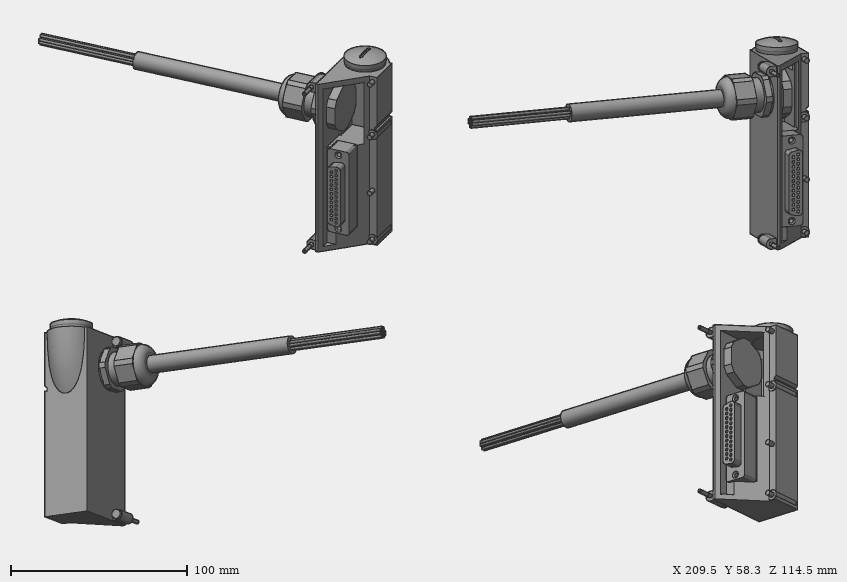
import cadquery as cq
import math


HOUSING_WIDTH = 28.0
HOUSING_HEIGHT = 107.5
REAR_Y = 24.5
TIP_Y = -17.2
TIP_WIDTH = 1.5
STRIP_WIDTH = 4.6
STRIP_X = HOUSING_WIDTH - STRIP_WIDTH
STRIP_Y = TIP_Y + (STRIP_X - TIP_WIDTH)
WALL = 3.5

CAP_X = HOUSING_WIDTH / 2
CAP_Y = 18.5
BULGE_RADIUS = 13.8
BULGE_BEND_RADIUS = 92.2
BULGE_SWEEP_ANGLE = 30.0
BORE_DIAMETER = 22.2
BORE_BOTTOM_Z = 97.2

CAP_DIAMETER = 24.0
CAP_BASE_DIAMETER = 23.5
CAP_BASE_HEIGHT = 1.9
CAP_RIM_HEIGHT = 2.5
CAP_HEIGHT = 7.0
CAP_SLOT_LENGTH = 12.2
CAP_SLOT_WIDTH = 1.9
CAP_SLOT_DEPTH = 1.3

MOUTH_RIGHT_X = 21.0
MOUTH_LEDGE = 1.0
MOUTH_FLOOR_Y = 6.3
CHAMBER_TOP_Z = HOUSING_HEIGHT - WALL
RECESS_BOTTOM_Z = 3.1
RECESS_FLOOR_Y = -9.6

LUG_DIAMETER = 6.0
LUG_RADIUS = LUG_DIAMETER / 2
LUG_INSET = 3.4
LUG_BOTTOM_Z = LUG_INSET
LUG_TOP_Z = HOUSING_HEIGHT - LUG_INSET
LEFT_LUG_X = -3.1
LEFT_LUG_FRONT_Y = -16.0
LEFT_LUG_REAR_Y = -4.0
SCREW_HEAD_DIAMETER = 5.5
SCREW_HEAD_REAR_Y = -2.0
SCREW_DIAMETER = 2.5
SCREW_THREAD_DIAMETER = 2.3
SCREW_SHOULDER_Y = -18.7
SCREW_TIP_Y = -26.0
SCREW_TIP_CHAMFER = 0.5
RIGHT_LUG_X = 25.4
RIGHT_LUG_FRONT_Y = 4.6
RIGHT_LUG_REAR_Y = 23.0
RIGHT_LUG_MIDDLE_Z = 70.5
RIGHT_PIN_LOW_Z = 34.5
RIGHT_PIN_DIAMETER = 3.0
RIGHT_PIN_TIP_Y = 0.6

NOTCH_DEPTH = 1.5
NOTCH_BOTTOM_Z = 73.4
NOTCH_HEIGHT = 3.1

FLANGE_LEFT_X = 4.6
FLANGE_WIDTH = 13.5
FLANGE_BOTTOM_Z = 11.3
FLANGE_HEIGHT = 53.2
FLANGE_TOP_Z = FLANGE_BOTTOM_Z + FLANGE_HEIGHT
FLANGE_FRONT_Y = -11.1
FLANGE_REAR_Y = 0.0
FLANGE_CORNER = 1.5
CONNECTOR_X = FLANGE_LEFT_X + FLANGE_WIDTH / 2
CONNECTOR_Z = FLANGE_BOTTOM_Z + FLANGE_HEIGHT / 2
SHELL_LENGTH = 39.2
SHELL_WIDTH = 8.4
SHELL_TAPER_ANGLE = 10
SHELL_TAPER = SHELL_WIDTH * math.tan(math.radians(SHELL_TAPER_ANGLE))
SHELL_CORNER = 2.3
CONTACT_COUNT = 13
CONTACT_ROW_LENGTH = 33.3
CONTACT_PITCH = CONTACT_ROW_LENGTH / (CONTACT_COUNT - 1)
CONTACT_ROW_GAP = 3.0
CONTACT_DIAMETER = 1.6
CONTACT_DEPTH = 4.2
FIXING_SPACING = 47.2
FIXING_DIAMETER = 2.5
FIXING_SINK_DIAMETER = 4.2
FIXING_SINK_ANGLE = 90

AXIS_Z = 87.2
NUT_FLATS = 24.0
NUT_CORNERS = 26.0
DOME_X = -27.9
DOME_FILLET = 5.2
NUT_LEFT_X = -23.0
NUT_RIGHT_X = -11.0
NECK_DIAMETER = 20.0
COLLAR_LEFT_X = -5.0
COLLAR_RIGHT_X = -1.0
STEM_DIAMETER = 18.9
LOCKNUT_FLATS = 27.7
LOCKNUT_CORNERS = 29.1
LOCKNUT_LEFT_X = 5.0
LOCKNUT_RIGHT_X = 10.5
CABLE_DIAMETER = 10.3
CABLE_END_X = -121.0
TOTAL_LENGTH = 209.5
WIRE_TIP_X = RIGHT_LUG_X + LUG_RADIUS - TOTAL_LENGTH
WIRE_DIAMETER = 1.6
WIRE_PITCH = 1.7
WIRE_ROWS = 4


def box(x0, x1, y0, y1, z0, z1):
    """Axis-aligned box between two opposite corners."""
    return cq.Workplane("XY").box(x1 - x0, y1 - y0, z1 - z0, centered=False).translate((x0, y0, z0))


def rod_x(diameter, x0, x1, y=0.0, z=AXIS_Z):
    """Cylinder along X."""
    return cq.Workplane("YZ", origin=(x0, y, z)).circle(diameter / 2).extrude(x1 - x0)


def rod_y(diameter, x, z, y0, y1):
    """Cylinder along Y from the rear face y1 forward to y0."""
    return cq.Workplane("XZ", origin=(x, y1, z)).circle(diameter / 2).extrude(y1 - y0)


def rod_z(diameter, z0, z1):
    """Cylinder along Z on the cap axis."""
    return cq.Workplane("XY", origin=(CAP_X, CAP_Y, z0)).circle(diameter / 2).extrude(z1 - z0)


def hexagon(flats, turn, x0, x1):
    """Hexagonal prism along the cable axis; a zero turn puts two corners on Y."""
    plane = cq.Workplane("YZ", origin=(x0, 0, AXIS_Z)).transformed(rotate=(0, 0, turn))
    return plane.polygon(6, flats / math.cos(math.radians(30))).extrude(x1 - x0)


def clipped_hexagon(flats, corners, turn, x0, x1):
    """Hexagonal prism with its six corners cut flat."""
    return hexagon(flats, turn, x0, x1).intersect(hexagon(corners, turn + 30, x0, x1))


def connector_envelope():
    """Rounded block of the connector flange, also the recess that seats it."""
    block = box(FLANGE_LEFT_X, FLANGE_LEFT_X + FLANGE_WIDTH, FLANGE_FRONT_Y, FLANGE_REAR_Y,
                FLANGE_BOTTOM_Z, FLANGE_TOP_Z)
    return block.edges("|Y").fillet(FLANGE_CORNER)


def make_bulge():
    """Round bulge that bends forward into the rear wall as it goes down."""
    bend_y = CAP_Y + BULGE_RADIUS - BULGE_BEND_RADIUS
    top = cq.Workplane("XY", origin=(CAP_X, CAP_Y, HOUSING_HEIGHT)).circle(BULGE_RADIUS)
    bend_offset = bend_y - CAP_Y
    bend = top.revolve(BULGE_SWEEP_ANGLE, (0, bend_offset), (-1, bend_offset))
    behind_wall = box(0, HOUSING_WIDTH, REAR_Y - WALL, CAP_Y + BULGE_RADIUS, 0, HOUSING_HEIGHT)
    return bend.intersect(behind_wall)


def make_left_screw_lug(z):
    """Lug on the cable-side wall with its long screw."""
    lug = rod_y(LUG_DIAMETER, LEFT_LUG_X, z, LEFT_LUG_FRONT_Y, LEFT_LUG_REAR_Y)
    web = box(LEFT_LUG_X, 0, LEFT_LUG_FRONT_Y, LEFT_LUG_REAR_Y, z - LUG_RADIUS, z + LUG_RADIUS)
    head = rod_y(SCREW_HEAD_DIAMETER, LEFT_LUG_X, z, LEFT_LUG_REAR_Y, SCREW_HEAD_REAR_Y)
    shank = rod_y(SCREW_DIAMETER, LEFT_LUG_X, z, SCREW_SHOULDER_Y, LEFT_LUG_FRONT_Y)
    thread = rod_y(SCREW_THREAD_DIAMETER, LEFT_LUG_X, z, SCREW_TIP_Y, SCREW_SHOULDER_Y)
    thread = thread.faces("<Y").chamfer(SCREW_TIP_CHAMFER)
    return lug.union(web).union(head).union(shank).union(thread)


def make_edge_notch():
    """Notch through the right edge with a 45-degree upper side."""
    inner_x = HOUSING_WIDTH - NOTCH_DEPTH
    top_z = NOTCH_BOTTOM_Z + NOTCH_HEIGHT
    outline = [
        (HOUSING_WIDTH, NOTCH_BOTTOM_Z),
        (inner_x, NOTCH_BOTTOM_Z),
        (inner_x, top_z - NOTCH_DEPTH),
        (HOUSING_WIDTH, top_z),
    ]
    return cq.Workplane("XZ", origin=(0, REAR_Y, 0)).polyline(outline).close().extrude(REAR_Y - TIP_Y)


def make_housing():
    outline = [
        (0, REAR_Y),
        (0, TIP_Y),
        (TIP_WIDTH, TIP_Y),
        (STRIP_X, STRIP_Y),
        (HOUSING_WIDTH, STRIP_Y),
        (HOUSING_WIDTH, REAR_Y),
    ]
    body = cq.Workplane("XY").polyline(outline).close().extrude(HOUSING_HEIGHT)
    body = body.union(make_bulge()).cut(make_edge_notch())

    for z in (LUG_BOTTOM_Z, LUG_TOP_Z):
        body = body.union(make_left_screw_lug(z))
    for z in (LUG_BOTTOM_Z, RIGHT_LUG_MIDDLE_Z):
        body = body.union(rod_y(LUG_DIAMETER, RIGHT_LUG_X, z, RIGHT_LUG_FRONT_Y, RIGHT_LUG_REAR_Y))
    for z in (LUG_BOTTOM_Z, RIGHT_PIN_LOW_Z, RIGHT_LUG_MIDDLE_Z, LUG_TOP_Z):
        body = body.union(rod_y(RIGHT_PIN_DIAMETER, RIGHT_LUG_X, z, RIGHT_PIN_TIP_Y, STRIP_Y))

    mouth = box(WALL, MOUTH_RIGHT_X, TIP_Y, MOUTH_FLOOR_Y, FLANGE_TOP_Z, CHAMBER_TOP_Z)
    chamber = box(WALL + MOUTH_LEDGE, MOUTH_RIGHT_X - MOUTH_LEDGE, MOUTH_FLOOR_Y, REAR_Y - WALL,
                  FLANGE_TOP_Z, CHAMBER_TOP_Z)
    recess = box(WALL, MOUTH_RIGHT_X, TIP_Y, RECESS_FLOOR_Y, RECESS_BOTTOM_Z, FLANGE_TOP_Z)
    bore = rod_z(BORE_DIAMETER, BORE_BOTTOM_Z, HOUSING_HEIGHT)
    cable_entry = rod_x(STEM_DIAMETER, 0, WALL + MOUTH_LEDGE)
    for opening in (mouth, chamber, recess, bore, cable_entry, connector_envelope()):
        body = body.cut(opening)
    return body


def make_cap():
    """Domed screw cap whose plug fills the bore down to the chamber top."""
    plug_depth = HOUSING_HEIGHT - CHAMBER_TOP_Z
    cap_radius = CAP_DIAMETER / 2
    rim_top = CAP_BASE_HEIGHT + CAP_RIM_HEIGHT
    dome_rise = CAP_HEIGHT - rim_top
    dome_radius = (cap_radius ** 2 + dome_rise ** 2) / (2 * dome_rise)
    half_angle = math.asin(cap_radius / dome_radius) / 2
    dome_middle = (
        dome_radius * math.sin(half_angle),
        CAP_HEIGHT - dome_radius * (1 - math.cos(half_angle)),
    )
    profile = (
        cq.Workplane("XZ", origin=(CAP_X, CAP_Y, HOUSING_HEIGHT))
        .moveTo(0, -plug_depth)
        .lineTo(BORE_DIAMETER / 2, -plug_depth)
        .lineTo(BORE_DIAMETER / 2, 0)
        .lineTo(CAP_BASE_DIAMETER / 2, 0)
        .lineTo(cap_radius, CAP_BASE_HEIGHT)
        .lineTo(cap_radius, rim_top)
        .threePointArc(dome_middle, (0, CAP_HEIGHT))
        .close()
    )
    cap = profile.revolve(360, (0, 0), (0, 1))
    slot_plane = cq.Workplane("XY", origin=(CAP_X, CAP_Y, HOUSING_HEIGHT + CAP_HEIGHT))
    slot = slot_plane.slot2D(CAP_SLOT_LENGTH, CAP_SLOT_WIDTH, 90).extrude(-CAP_SLOT_DEPTH)
    return cap.cut(slot)


def make_connector():
    """D-shaped socket on its flange, with the longer contact row on the +X side."""
    front = cq.Workplane("XZ", origin=(CONNECTOR_X, FLANGE_FRONT_Y, CONNECTOR_Z))
    half_long = SHELL_LENGTH / 2
    half_short = half_long - SHELL_TAPER
    half_width = SHELL_WIDTH / 2
    d_outline = [
        (half_width, half_long),
        (half_width, -half_long),
        (-half_width, -half_short),
        (-half_width, half_short),
    ]
    shell = front.polyline(d_outline).close().extrude(FLANGE_FRONT_Y - TIP_Y)
    shell = shell.edges("|Y").fillet(SHELL_CORNER)
    connector = connector_envelope().union(shell)

    fixings = front.pushPoints([(0, FIXING_SPACING / 2), (0, -FIXING_SPACING / 2)])
    fixing_holes = fixings.circle(FIXING_DIAMETER / 2).extrude(FLANGE_FRONT_Y - FLANGE_REAR_Y)
    sink_depth = (FIXING_SINK_DIAMETER - FIXING_DIAMETER) / 2 / math.tan(math.radians(FIXING_SINK_ANGLE / 2))
    sinks = fixings.circle(FIXING_SINK_DIAMETER / 2).extrude(-sink_depth, taper=FIXING_SINK_ANGLE / 2)
    connector = connector.cut(fixing_holes).cut(sinks)

    contacts = []
    for row_x, count in ((CONTACT_ROW_GAP / 2, CONTACT_COUNT), (-CONTACT_ROW_GAP / 2, CONTACT_COUNT - 1)):
        for index in range(count):
            contacts.append((row_x, (index - (count - 1) / 2) * CONTACT_PITCH))
    socket_face = cq.Workplane("XZ", origin=(CONNECTOR_X, TIP_Y, CONNECTOR_Z))
    sockets = socket_face.pushPoints(contacts).circle(CONTACT_DIAMETER / 2).extrude(-CONTACT_DEPTH)
    return connector.cut(sockets)


def wire_places():
    """Offsets of the wires from the cable axis: a square grid without its four corners."""
    last = WIRE_ROWS - 1
    offsets = [(index - last / 2) * WIRE_PITCH for index in range(WIRE_ROWS)]
    ends = (offsets[0], offsets[-1])
    return [(y, z) for y in offsets for z in offsets if y not in ends or z not in ends]


def make_cable_gland():
    """Gland with clamping nut, locknut inside the housing, and its cable with bared wires."""
    dome = rod_x(NUT_FLATS, DOME_X, NUT_RIGHT_X).faces("<X").edges().fillet(DOME_FILLET)
    gland = dome.union(clipped_hexagon(NUT_FLATS, NUT_CORNERS, 0, NUT_LEFT_X, NUT_RIGHT_X))
    gland = gland.union(rod_x(NECK_DIAMETER, NUT_RIGHT_X, COLLAR_LEFT_X))
    gland = gland.union(clipped_hexagon(NUT_FLATS, NUT_CORNERS, 0, COLLAR_LEFT_X, COLLAR_RIGHT_X))
    gland = gland.union(rod_x(NUT_FLATS, COLLAR_RIGHT_X, 0))
    gland = gland.union(rod_x(STEM_DIAMETER, 0, LOCKNUT_RIGHT_X))
    gland = gland.union(
        clipped_hexagon(LOCKNUT_FLATS, LOCKNUT_CORNERS, 30, LOCKNUT_LEFT_X, LOCKNUT_RIGHT_X)
    )
    gland = gland.union(rod_x(CABLE_DIAMETER, CABLE_END_X, DOME_X))

    for wire_y, wire_z in wire_places():
        gland = gland.union(rod_x(WIRE_DIAMETER, WIRE_TIP_X, CABLE_END_X, wire_y, AXIS_Z + wire_z))
    return gland


housing = make_housing()
cap = make_cap()
connector = make_connector()
cable_gland = make_cable_gland()

bodies = []
for body in (housing, cap, connector, cable_gland):
    bodies.extend(body.solids().vals())
result = cq.Compound.makeCompound(bodies)